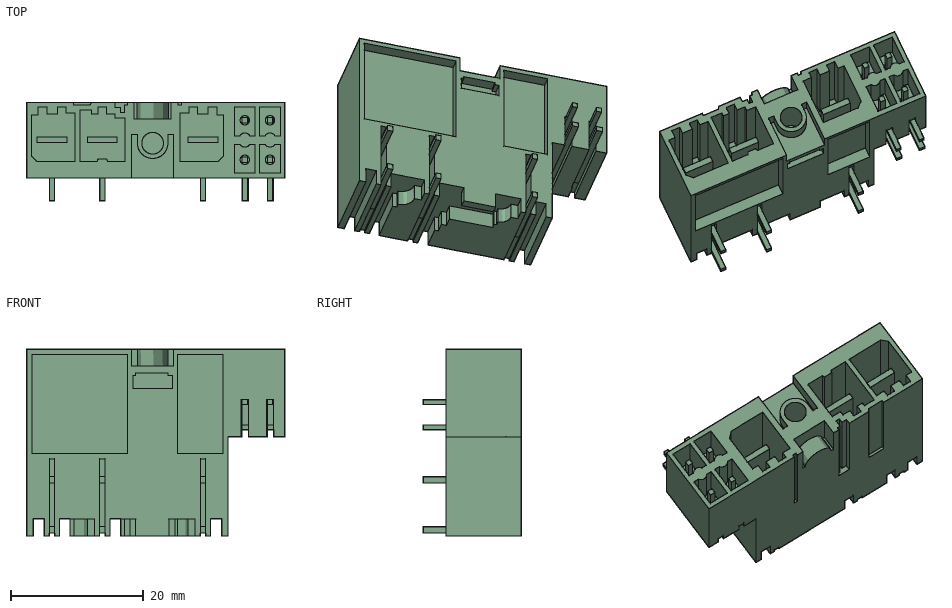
import cadquery as cq
import math

LENGTH = 39.07
DEPTH = 11.45
HEIGHT = 28.3
LEG_REACH = 3.45

MAIN_LENGTH = 30.47
ARM_BOTTOM = 15.0

PITCH = 7.6
FIRST_X = 3.83
POWER_XS = [FIRST_X + PITCH * position for position in (0, 1, 3)]
BOSS_X = FIRST_X + 2 * PITCH

BLADE_WIDTH = 4.5
BLADE_THICK = 0.9
BLADE_BACK = 6.25
BLADE_TOP = 23.45
STEM_WIDTH = 0.82
POWER_LEG_HEIGHT = 0.98
POWER_LEG_ZS = (0.95, 8.5)
STEM_BOTTOM = POWER_LEG_ZS[0] - POWER_LEG_HEIGHT / 2
STEM_SLOT_TOP = 11.7

CAVITY_FLOOR = 12.45
CAVITY_FRONT = 2.5
KEY_ROOT = 9.73
KEY_TIP = 10.8
OUTER_CAVITY_START = 0.7
OUTER_CAVITY_WIDTH = 6.65
OUTER_CHAMFER = 0.85
LOW_BACK = 9.57
HIGH_BACK = 9.9
KEY_WIDTH = 1.33
KEY_STARTS = (1.0, 3.95)
MIDDLE_CAVITY_START = 8.05
MIDDLE_CAVITY_END = 14.9

SIGNAL_PITCH = PITCH / 2
FIRST_SIGNAL_X = 33.0
SIGNAL_XS = [FIRST_SIGNAL_X, FIRST_SIGNAL_X + SIGNAL_PITCH]
FRONT_ROW_Y = 2.77
REAR_ROW_Y = 8.75
SIGNAL_SIZE = 0.8
SIGNAL_TOP = 27.05
REAR_SHANK_WIDTH = 0.95
FRONT_ROW_LEG_Z = 20.28
REAR_ROW_LEG_Z = 16.45
SIGNAL_SLOT_WIDTH = 1.1
SIGNAL_SLOT_TOP = FRONT_ROW_LEG_Z + SIGNAL_SIZE / 2
SIGNAL_FLOOR = 21.88
PIN_RECESS_RADIUS = 0.7
PIN_RECESS_DEPTH = 0.6
SIGNAL_CAVITY_WIDTH = 3.13
SIGNAL_CAVITY_DEPTH = 11.2
SIGNAL_RIB_FRONT = 5.1
SIGNAL_RIB_BACK = 6.4
BULGE_WIDTH = 1.5
BULGE_HEIGHT = 1.1

POCKET_DEPTH = 1.6
POCKET_TOP = 27.5
POCKETS = ((0.8, 15.28), (22.8, 29.75))
WINDOW_WIDTH = 5.95
WINDOW_BOTTOM = 22.3
WINDOW_TOP = 24.7
WINDOW_CORNER_HEIGHT = 0.4
WINDOW_CORNER_LEFT = 0.4
WINDOW_CORNER_RIGHT = 0.63

BAY_WIDTH = 6.33
BAY_FLOOR = 25.75
BAY_BACK = 6.55
BOSS_RADIUS = 2.3
BOSS_HOLE_RADIUS = 1.65
BOSS_Y = 5.27
BOSS_HOLE_DEPTH = 7.8

NOTCH_WIDTH = 5.6
NOTCH_DEPTH = 2.5
NOTCH_FLOOR = 22.65
ARCH_RADIUS = 2.4

FOOT_HEIGHT = 2.6
FOOT_GAP = 1.17
END_OPENING = 1.65
BLOCK_FRONT = 1.65
BLOCK_WIDTH = 1.1
CENTRE_WALL_LEFT = 16.5
CENTRE_WALL_RIGHT = 21.53
CENTRE_WALL_THICK = 1.17
PASSAGE_BACK = 4.7

GROOVE_DEPTH = 0.4
BEVEL_GROOVE_LEFT = 7.1
BEVEL_GROOVE_RIGHT = 9.8
BEVEL_WIDTH = 0.25
STEPPED_GROOVE_XS = (13.4, 14.22, 14.8, 15.28)
STEPPED_GROOVE_DEPTHS = (0.8, 1.5, GROOVE_DEPTH)
NARROW_GROOVE_LEFT = 22.9
NARROW_GROOVE_RIGHT = 23.45


def box(x0, x1, y0, y1, z0, z1):
    """Box given by its limits on each axis."""
    return cq.Workplane("XY").box(x1 - x0, y1 - y0, z1 - z0, centered=False).translate((x0, y0, z0))


def centred_box(x, width, y0, y1, z0, z1):
    """Box centred on x."""
    return box(x - width / 2, x + width / 2, y0, y1, z0, z1)


def prism(points, z0, z1):
    """Upright prism over an outline in plan."""
    return cq.Workplane("XY").workplane(offset=z0).polyline(points).close().extrude(z1 - z0)


def power_contact(x):
    """Wide blade on a narrow stem that carries two legs."""
    blade_front = BLADE_BACK - BLADE_THICK
    half_leg = POWER_LEG_HEIGHT / 2
    contact = centred_box(x, BLADE_WIDTH, blade_front, BLADE_BACK, CAVITY_FLOOR, BLADE_TOP)
    contact = contact.union(
        centred_box(x, STEM_WIDTH, blade_front, BLADE_BACK, STEM_BOTTOM, CAVITY_FLOOR)
    )
    for z in POWER_LEG_ZS:
        leg = centred_box(x, STEM_WIDTH, -LEG_REACH, BLADE_BACK, z - half_leg, z + half_leg)
        contact = contact.union(leg)
    return contact


def front_signal_contact(x):
    """Square pin of the front row, bent forward into a leg."""
    half = SIGNAL_SIZE / 2
    back = FRONT_ROW_Y + half
    leg_bottom = FRONT_ROW_LEG_Z - half
    pin = centred_box(x, SIGNAL_SIZE, FRONT_ROW_Y - half, back, leg_bottom, SIGNAL_TOP)
    leg = centred_box(x, SIGNAL_SIZE, -LEG_REACH, back, leg_bottom, SIGNAL_SLOT_TOP)
    return pin.union(leg)


def rear_signal_contact(x):
    """Square pin of the rear row on a wider shank, bent forward into a leg below the front row's."""
    half = SIGNAL_SIZE / 2
    left = x - half
    right = left + REAR_SHANK_WIDTH
    front = REAR_ROW_Y - half
    back = REAR_ROW_Y + half
    leg_bottom = REAR_ROW_LEG_Z - half
    pin = centred_box(x, SIGNAL_SIZE, front, back, leg_bottom, SIGNAL_TOP)
    shank = box(left, right, front, back, leg_bottom, SIGNAL_FLOOR)
    leg = box(left, right, -LEG_REACH, back, leg_bottom, REAR_ROW_LEG_Z + half)
    return pin.union(shank).union(leg)


def outer_cavity():
    """Cavity at the left end: two key grooves in its back and one chamfered corner."""
    x0 = OUTER_CAVITY_START
    x1 = x0 + OUTER_CAVITY_WIDTH
    first_key, second_key = (x0 + start for start in KEY_STARTS)
    return prism(
        [
            (x0 + OUTER_CHAMFER, CAVITY_FRONT),
            (x1, CAVITY_FRONT),
            (x1, HIGH_BACK),
            (second_key + KEY_WIDTH, HIGH_BACK),
            (second_key + KEY_WIDTH, KEY_TIP),
            (second_key, KEY_TIP),
            (second_key, KEY_ROOT),
            (first_key + KEY_WIDTH, KEY_ROOT),
            (first_key + KEY_WIDTH, KEY_TIP),
            (first_key, KEY_TIP),
            (first_key, LOW_BACK),
            (x0, LOW_BACK),
            (x0, CAVITY_FRONT + OUTER_CHAMFER),
        ],
        CAVITY_FLOOR,
        HEIGHT,
    )


def middle_cavity():
    """Cavity with a stepped back wall and a small rib on its front wall."""
    centre = POWER_XS[1]
    key_left = centre - KEY_WIDTH / 2
    key_right = centre + KEY_WIDTH / 2
    left_step_x = 9.8
    left_step_y = 10.28
    right_step_x = 13.4
    right_step_y = 9.05
    rib_height = 0.4
    rib_bevel = 0.1
    return prism(
        [
            (MIDDLE_CAVITY_START, CAVITY_FRONT),
            (key_left - rib_bevel, CAVITY_FRONT),
            (key_left, CAVITY_FRONT + rib_height),
            (key_right, CAVITY_FRONT + rib_height),
            (key_right + rib_bevel, CAVITY_FRONT),
            (MIDDLE_CAVITY_END, CAVITY_FRONT),
            (MIDDLE_CAVITY_END, right_step_y),
            (right_step_x, right_step_y),
            (right_step_x, KEY_ROOT),
            (key_right, KEY_ROOT),
            (key_right, KEY_TIP),
            (key_left, KEY_TIP),
            (key_left, KEY_ROOT),
            (left_step_x, KEY_ROOT),
            (left_step_x, left_step_y),
            (MIDDLE_CAVITY_START, left_step_y),
        ],
        CAVITY_FLOOR,
        HEIGHT,
    )


def signal_cavity(x, rib_y, direction):
    """Cavity that runs in the given Y direction from the central rib, which bulges into it at rib_y."""
    half_width = SIGNAL_CAVITY_WIDTH / 2
    half_bulge = BULGE_WIDTH / 2
    far_y = rib_y + direction * SIGNAL_CAVITY_DEPTH
    return (
        cq.Workplane("XY")
        .workplane(offset=SIGNAL_FLOOR)
        .moveTo(x - half_width, far_y)
        .lineTo(x - half_width, rib_y)
        .lineTo(x - half_bulge, rib_y)
        .threePointArc((x, rib_y + direction * BULGE_HEIGHT), (x + half_bulge, rib_y))
        .lineTo(x + half_width, rib_y)
        .lineTo(x + half_width, far_y)
        .close()
        .extrude(HEIGHT - SIGNAL_FLOOR)
    )


def boss_bay():
    """Open bay around the screw boss, which stays joined to the wall behind it."""
    bay = centred_box(BOSS_X, BAY_WIDTH, 0, BAY_BACK, BAY_FLOOR, HEIGHT)
    boss = (
        cq.Workplane("XY")
        .workplane(offset=BAY_FLOOR)
        .center(BOSS_X, BOSS_Y)
        .circle(BOSS_RADIUS)
        .extrude(HEIGHT - BAY_FLOOR)
    )
    web = centred_box(BOSS_X, 2 * BOSS_RADIUS, BOSS_Y, BAY_BACK, BAY_FLOOR, HEIGHT)
    return bay.cut(boss).cut(web)


def boss_hole():
    """Blind hole down the screw boss."""
    return (
        cq.Workplane("XY")
        .workplane(offset=HEIGHT - BOSS_HOLE_DEPTH)
        .center(BOSS_X, BOSS_Y)
        .circle(BOSS_HOLE_RADIUS)
        .extrude(BOSS_HOLE_DEPTH)
    )


def back_notch():
    """Notch at the top of the back face, with an arch rising from its floor."""
    front = DEPTH - NOTCH_DEPTH
    notch = centred_box(BOSS_X, NOTCH_WIDTH, front, DEPTH, NOTCH_FLOOR, HEIGHT)
    arch = (
        cq.Workplane("XZ", origin=(BOSS_X, DEPTH, NOTCH_FLOOR))
        .circle(ARCH_RADIUS)
        .extrude(NOTCH_DEPTH)
    )
    return notch.cut(arch)


def window():
    """Blind window below the boss bay, with its two upper corners stepped in."""
    left = BOSS_X - WINDOW_WIDTH / 2
    right = BOSS_X + WINDOW_WIDTH / 2
    shoulder = WINDOW_TOP - WINDOW_CORNER_HEIGHT
    low = box(left, right, 0, POCKET_DEPTH, WINDOW_BOTTOM, shoulder)
    high_left = left + WINDOW_CORNER_LEFT
    high_right = right - WINDOW_CORNER_RIGHT
    high = box(high_left, high_right, 0, POCKET_DEPTH, shoulder, WINDOW_TOP)
    return low.union(high)


def back_groove(left, right, depth):
    """Plain upright groove that runs down the back face from the top."""
    return box(left, right, DEPTH - depth, DEPTH, CAVITY_FLOOR, HEIGHT)


def bevel_groove():
    """Shallow back groove with its right side bevelled."""
    floor_y = DEPTH - GROOVE_DEPTH
    return prism(
        [
            (BEVEL_GROOVE_LEFT, DEPTH),
            (BEVEL_GROOVE_LEFT, floor_y),
            (BEVEL_GROOVE_RIGHT - BEVEL_WIDTH, floor_y),
            (BEVEL_GROOVE_RIGHT, DEPTH),
        ],
        CAVITY_FLOOR,
        HEIGHT,
    )


def back_grooves():
    """All grooves of the back face; the stepped one is made of three side by side."""
    grooves = [bevel_groove(), back_groove(NARROW_GROOVE_LEFT, NARROW_GROOVE_RIGHT, GROOVE_DEPTH)]
    lefts = STEPPED_GROOVE_XS[:-1]
    rights = STEPPED_GROOVE_XS[1:]
    for left, right, depth in zip(lefts, rights, STEPPED_GROOVE_DEPTHS):
        grooves.append(back_groove(left, right, depth))
    return grooves


def rounded_opening(left, right, arc_left, step_y, step_x, left_back):
    """Bottom opening whose right rear corner is a concave quarter round, with steps to its left."""
    block_x = right - BLOCK_WIDTH
    radius = block_x - arc_left
    diagonal = radius * math.sqrt(0.5)
    return (
        cq.Workplane("XY")
        .moveTo(left, 0)
        .lineTo(right, 0)
        .lineTo(right, BLOCK_FRONT)
        .lineTo(block_x, BLOCK_FRONT)
        .threePointArc(
            (arc_left + diagonal, BLOCK_FRONT + diagonal), (arc_left, BLOCK_FRONT + radius)
        )
        .lineTo(arc_left, step_y)
        .lineTo(step_x, step_y)
        .lineTo(step_x, left_back)
        .lineTo(left, left_back)
        .close()
        .extrude(FOOT_HEIGHT)
    )


def stepped_opening(left):
    """Bottom opening up to the centre wall; its rear runs back in steps to an open gap on the left."""
    right_step_x = 15.63
    middle_step_x = 14.8
    gap_right = 14.22
    right_step_y = 6.25
    middle_step_y = 7.8
    return prism(
        [
            (left, 0),
            (CENTRE_WALL_LEFT, 0),
            (CENTRE_WALL_LEFT, PASSAGE_BACK),
            (right_step_x, PASSAGE_BACK),
            (right_step_x, right_step_y),
            (middle_step_x, right_step_y),
            (middle_step_x, middle_step_y),
            (gap_right, middle_step_y),
            (gap_right, DEPTH),
            (left, DEPTH),
        ],
        0,
        FOOT_HEIGHT,
    )


def bottom_openings():
    """Openings between the feet along the bottom edge."""
    first, second, third = POWER_XS
    left_end = first - FOOT_GAP
    right_end = third + FOOT_GAP
    open_back = rounded_opening(
        left=first + FOOT_GAP,
        right=second - FOOT_GAP,
        arc_left=7.2,
        step_y=4.3,
        step_x=6.52,
        left_back=DEPTH,
    )
    closed_back = rounded_opening(
        left=CENTRE_WALL_RIGHT,
        right=third - FOOT_GAP,
        arc_left=22.85,
        step_y=3.9,
        step_x=22.45,
        left_back=PASSAGE_BACK,
    )
    passage = box(
        CENTRE_WALL_LEFT, CENTRE_WALL_RIGHT, CENTRE_WALL_THICK, PASSAGE_BACK, 0, FOOT_HEIGHT
    )
    return [
        box(left_end - END_OPENING, left_end, 0, DEPTH, 0, FOOT_HEIGHT),
        open_back,
        stepped_opening(second + FOOT_GAP),
        passage,
        closed_back,
        box(right_end, right_end + END_OPENING, 0, DEPTH, 0, FOOT_HEIGHT),
    ]


def stem_slot(x):
    """Slot that seats one power stem; below the stem it runs out through the back."""
    slot = centred_box(x, STEM_WIDTH, 0, BLADE_BACK, 0, STEM_SLOT_TOP)
    outlet = centred_box(x, STEM_WIDTH, 0, DEPTH, 0, STEM_BOTTOM)
    return slot.union(outlet)


def signal_slot(x):
    """Slot for the legs of one signal column; below the rear leg it runs out through the back."""
    half = SIGNAL_SIZE / 2
    slot_back = REAR_ROW_Y + half
    slot = centred_box(x, SIGNAL_SLOT_WIDTH, 0, slot_back, ARM_BOTTOM, SIGNAL_SLOT_TOP)
    left = x - half
    outlet = box(left, left + REAR_SHANK_WIDTH, 0, DEPTH, ARM_BOTTOM, REAR_ROW_LEG_Z - half)
    return slot.union(outlet)


def pin_recess(x, y):
    """Shallow round recess in a cavity floor around its signal pin."""
    return (
        cq.Workplane("XY")
        .workplane(offset=SIGNAL_FLOOR - PIN_RECESS_DEPTH)
        .center(x, y)
        .circle(PIN_RECESS_RADIUS)
        .extrude(PIN_RECESS_DEPTH)
    )


def make_housing(contacts):
    """Main block with its overhanging arm, less every opening and the seats of the contacts."""
    body = box(0, MAIN_LENGTH, 0, DEPTH, 0, HEIGHT)
    body = body.union(box(MAIN_LENGTH, LENGTH, 0, DEPTH, ARM_BOTTOM, HEIGHT))

    left_cavity = outer_cavity()
    mid_x = (POWER_XS[0] + POWER_XS[-1]) / 2
    right_cavity = left_cavity.mirror("YZ", (mid_x, 0, 0))
    cuts = [left_cavity, middle_cavity(), right_cavity]
    cuts += [boss_bay(), boss_hole(), back_notch(), window()]
    cuts += back_grooves() + bottom_openings()
    for x0, x1 in POCKETS:
        cuts.append(box(x0, x1, 0, POCKET_DEPTH, CAVITY_FLOOR, POCKET_TOP))
    for x in POWER_XS:
        cuts.append(stem_slot(x))
    for x in SIGNAL_XS:
        cuts.append(signal_cavity(x, SIGNAL_RIB_FRONT, -0.4))
        cuts.append(signal_cavity(x, SIGNAL_RIB_BACK, 0.4))
        cuts.append(signal_slot(x))
        cuts += [pin_recess(x, FRONT_ROW_Y), pin_recess(x, REAR_ROW_Y)]

    for tool in cuts + contacts:
        body = body.cut(tool)
    return body


power_contacts = [power_contact(x) for x in POWER_XS]
signal_contacts = [front_signal_contact(x) for x in SIGNAL_XS]
signal_contacts += [rear_signal_contact(x) for x in SIGNAL_XS]
housing = make_housing(power_contacts + signal_contacts)

result = cq.Compound.makeCompound(
    [housing.val()] + [contact.val() for contact in power_contacts + signal_contacts]
)